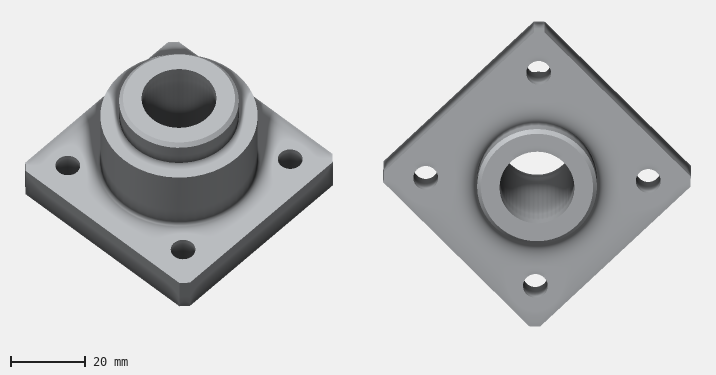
import cadquery as cq

flange_side = 60.0
flange_thickness = 10.0
corner_chamfer = 2.0

hole_diameter = 6.6
hole_pitch = 42.0

collar_diameter = 42.0
collar_height = 20.0
collar_root_fillet = 1.0
sleeve_diameter = 32.0
sleeve_projection = 7.5
sleeve_edge_chamfer = 1.0
bore_diameter = 20.0

collar_top = flange_thickness + collar_height
sleeve_length = collar_top + 2 * sleeve_projection


def make_flange():
    flange = cq.Workplane("XY").rect(flange_side, flange_side).extrude(flange_thickness)
    return flange.edges("|Z").chamfer(corner_chamfer)


def add_collar(body):
    collar = (
        cq.Workplane("XY")
        .workplane(offset=flange_thickness)
        .circle(collar_diameter / 2)
        .extrude(collar_height)
    )
    joined = body.union(collar)
    root_edge = joined.edges("%CIRCLE").edges("<Z")
    return root_edge.fillet(collar_root_fillet)


def make_sleeve():
    sleeve = (
        cq.Workplane("XY")
        .workplane(offset=-sleeve_projection)
        .circle(sleeve_diameter / 2)
        .extrude(sleeve_length)
    )
    return sleeve.edges("%CIRCLE").chamfer(sleeve_edge_chamfer)


def cut_holes(body):
    bored = body.faces("<Z").workplane().circle(bore_diameter / 2).cutThruAll()
    mounting_holes = (
        cq.Workplane("XY")
        .rect(hole_pitch, hole_pitch, forConstruction=True)
        .vertices()
        .circle(hole_diameter / 2)
        .extrude(flange_thickness)
    )
    return bored.cut(mounting_holes)


result = cut_holes(add_collar(make_flange()).union(make_sleeve()))